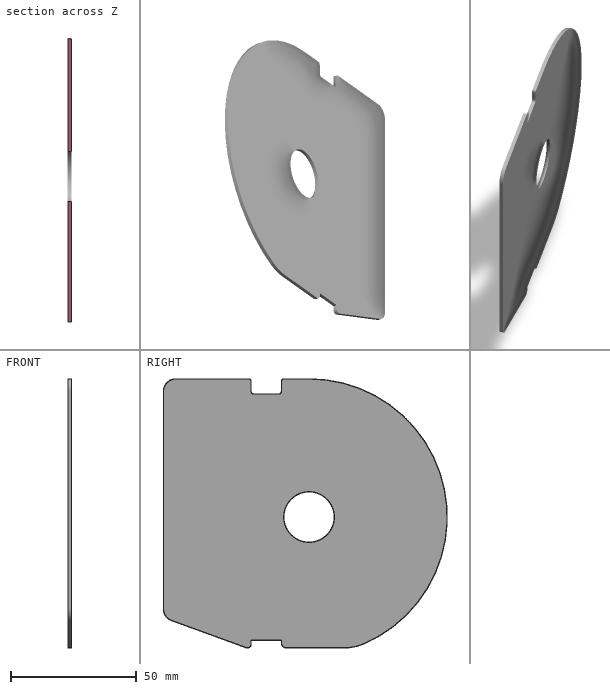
import cadquery as cq
import math

thickness = 1.5
round_radius = 55.0
bore_diameter = 20.0
flat_side_y = -57.96
bottom_z = -52.1
top_z = round_radius

notch_width = 12.0
notch_center_y = -17.0
top_notch_depth = 6.0
bottom_notch_depth = 3.0
notch_near_y = notch_center_y + notch_width / 2
notch_far_y = notch_center_y - notch_width / 2

slope_angle = math.radians(20.0)

outer_corner_radius = 5.0
top_notch_mouth_radius = 1.0
top_notch_floor_radius = 1.0
bottom_notch_mouth_radius = 2.0
slope_tip_radius = 1.5
bottom_blend_radius = 20.0

corner_search_margin = 1.0


def arc_point(center, radius, angle):
    """Point on a circle at an angle measured from +Y towards +Z."""
    return (center[0] + radius * math.cos(angle), center[1] + radius * math.sin(angle))


def plate_outline():
    """Closed plate outline, with the corners between straight edges left sharp."""
    blend_center_z = bottom_z + bottom_blend_radius
    center_distance = round_radius - bottom_blend_radius
    blend_center_y = math.sqrt(center_distance**2 - blend_center_z**2)
    blend_center = (blend_center_y, blend_center_z)
    blend_angle = math.atan2(blend_center_z, blend_center_y)
    blend_mid_angle = (blend_angle - math.pi / 2) / 2

    tip_center_y = notch_far_y - slope_tip_radius
    tip_center_z = bottom_z + slope_tip_radius

    def slope_z(y):
        drop = slope_tip_radius / math.cos(slope_angle)
        return tip_center_z - drop + (tip_center_y - y) * math.tan(slope_angle)

    top_notch_z = top_z - top_notch_depth
    bottom_notch_z = bottom_z + bottom_notch_depth
    round_mid_angle = (math.pi / 2 + blend_angle) / 2

    return (
        cq.Workplane("YZ")
        .moveTo(0, top_z)
        .threePointArc(
            arc_point((0, 0), round_radius, round_mid_angle),
            arc_point((0, 0), round_radius, blend_angle),
        )
        .threePointArc(
            arc_point(blend_center, bottom_blend_radius, blend_mid_angle),
            (blend_center_y, bottom_z),
        )
        .lineTo(notch_near_y, bottom_z)
        .lineTo(notch_near_y, bottom_notch_z)
        .lineTo(notch_far_y, bottom_notch_z)
        .lineTo(notch_far_y, slope_z(notch_far_y))
        .lineTo(flat_side_y, slope_z(flat_side_y))
        .lineTo(flat_side_y, top_z)
        .lineTo(notch_far_y, top_z)
        .lineTo(notch_far_y, top_notch_z)
        .lineTo(notch_near_y, top_notch_z)
        .lineTo(notch_near_y, top_z)
        .close()
    )


def round_corners(plate, y_range, z_range, radius):
    """Round the through-thickness corners that lie inside a Y and Z range."""
    box = cq.selectors.BoxSelector(
        (-thickness, y_range[0], z_range[0]),
        (thickness, y_range[1], z_range[1]),
    )
    corners = plate.edges("|X").edges(box)
    return corners.fillet(radius)


def rounded_plate():
    plate = plate_outline().extrude(thickness / 2, both=True)
    side = (flat_side_y - corner_search_margin, flat_side_y + corner_search_margin)
    near_wall = (notch_near_y - corner_search_margin, notch_near_y + corner_search_margin)
    far_wall = (notch_far_y - corner_search_margin, notch_far_y + corner_search_margin)
    both_walls = (far_wall[0], near_wall[1])
    top_edge = (top_z - corner_search_margin, top_z + corner_search_margin)
    top_floor = (top_edge[0] - top_notch_depth, top_edge[1] - top_notch_depth)
    bottom_edge = (bottom_z - corner_search_margin, bottom_z + corner_search_margin)

    plate = round_corners(plate, side, (bottom_z, top_edge[1]), outer_corner_radius)
    plate = round_corners(plate, both_walls, top_edge, top_notch_mouth_radius)
    plate = round_corners(plate, both_walls, top_floor, top_notch_floor_radius)
    plate = round_corners(plate, near_wall, bottom_edge, bottom_notch_mouth_radius)
    return round_corners(plate, far_wall, bottom_edge, slope_tip_radius)


def bore():
    return cq.Workplane("YZ").circle(bore_diameter / 2).extrude(thickness, both=True)


result = rounded_plate().cut(bore())